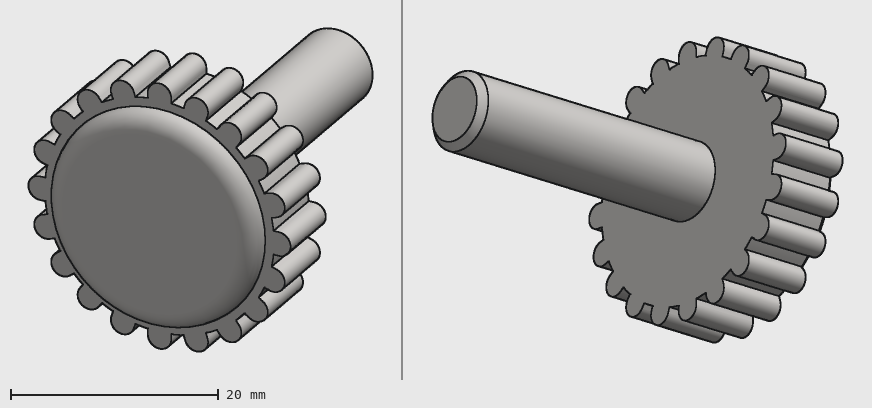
import cadquery as cq

total_length = 39.3
outer_diameter = 28.5

shaft_diameter = 8.0
shaft_length = 30.0
shaft_chamfer = 0.8

cap_diameter = 23.0
cap_height = 2.0

tooth_count = 20
tooth_width = 2.55
root_diameter = 24.9
rim_width = total_length - shaft_length - cap_height
tooth_tip_radius = tooth_width / 2
tooth_tip_center = outer_diameter / 2 - tooth_tip_radius

rim_front = cap_height
rim_back = rim_front + rim_width


def cylinder_along_y(diameter, start, end):
    """Solid cylinder centred on the Y axis from start to end."""
    plane = cq.Workplane("XZ", origin=(0, start, 0))
    return plane.circle(diameter / 2).extrude(start - end)


def make_tooth():
    """One straight-sided tooth with a round tip, pointing along +X."""
    return (
        cq.Workplane("XZ", origin=(0, rim_front, 0))
        .moveTo(0, -tooth_tip_radius)
        .lineTo(tooth_tip_center, -tooth_tip_radius)
        .threePointArc((outer_diameter / 2, 0), (tooth_tip_center, tooth_tip_radius))
        .lineTo(0, tooth_tip_radius)
        .close()
        .extrude(-rim_width)
    )


def make_rim():
    """Round core with evenly spaced teeth."""
    rim = cylinder_along_y(root_diameter, rim_front, rim_back)
    tooth = make_tooth()
    for index in range(tooth_count):
        angle = index * 360 / tooth_count
        rim = rim.union(tooth.rotate((0, 0, 0), (0, 1, 0), angle))
    return rim


def make_cap():
    """Quarter-round edge as tall as the cap, around a flat front face."""
    flat_radius = cap_diameter / 2 - cap_height
    diagonal = cap_height * 0.5**0.5
    return (
        cq.Workplane("XY")
        .lineTo(flat_radius, 0)
        .threePointArc(
            (flat_radius + diagonal, cap_height - diagonal),
            (cap_diameter / 2, cap_height),
        )
        .lineTo(0, cap_height)
        .close()
        .revolve(360, (0, 0, 0), (0, 1, 0))
    )


def make_shaft():
    """Plain shaft with a chamfered free end."""
    shaft = cylinder_along_y(shaft_diameter, rim_back, total_length)
    return shaft.faces(">Y").chamfer(shaft_chamfer)


result = make_rim().union(make_cap()).union(make_shaft())